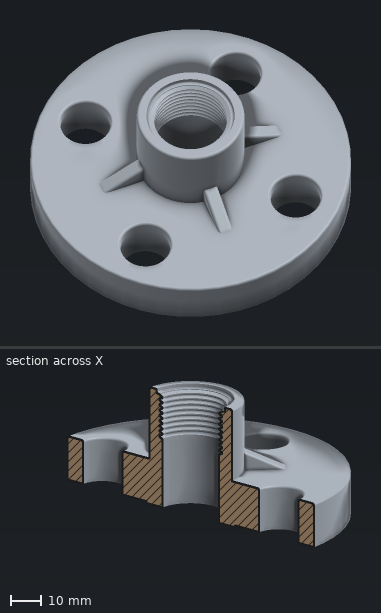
import cadquery as cq

plate_diameter = 105.4
plate_thickness = 15.3
raised_face_diameter = 37.9
raised_face_height = 0.6
edge_radius = 1.0

bolt_hole_diameter = 16.5
bolt_circle_diameter = 75.0
bolt_count = 4

total_height = 40.8
hub_diameter = 35.4

minor_diameter = 24.0
major_diameter = 26.5
thread_length = 16.3
crest_count = 9
thread_pitch = thread_length / crest_count
thread_flat = 0.27
counterbore_diameter = 29.0
counterbore_depth = 1.5
counterbore_corner_radius = 0.5

rib_count = 4
rib_width = 5.0
rib_height = 6.4
rib_outer_radius = 31.5
rib_buried_depth = 1.0

plate_top = raised_face_height + plate_thickness
hub_radius = hub_diameter / 2


def disc(diameter, bottom, top):
    return cq.Workplane("XY").workplane(offset=bottom).circle(diameter / 2).extrude(top - bottom)


def make_plate():
    """Round plate with four bolt holes, all its upper edges rounded."""
    holes = (
        cq.Workplane("XY")
        .polarArray(bolt_circle_diameter / 2, 0, 360, bolt_count)
        .circle(bolt_hole_diameter / 2)
        .extrude(plate_top)
    )
    plate = disc(plate_diameter, raised_face_height, plate_top).cut(holes)
    plate = plate.faces(">Z").edges().fillet(edge_radius)
    return plate.union(disc(raised_face_diameter, 0, plate_top))


def make_hub():
    return disc(hub_diameter, 0, total_height).faces(">Z").edges().fillet(edge_radius)


def make_rib():
    """Sloping rib along +X, from inside the hub wall down to the plate top."""
    slope = rib_height / (rib_outer_radius - hub_radius)
    inner_radius = (hub_radius + major_diameter / 2) / 2
    inner_height = slope * (rib_outer_radius - inner_radius)
    buried_radius = rib_outer_radius + rib_buried_depth / slope
    rib = (
        cq.Workplane("XZ")
        .polyline(
            [
                (inner_radius, plate_top - rib_buried_depth),
                (buried_radius, plate_top - rib_buried_depth),
                (inner_radius, plate_top + inner_height),
            ]
        )
        .close()
        .extrude(rib_width / 2, both=True)
    )
    return rib.edges("not (|X or |Y or |Z)").edges(">Y or <Y").fillet(edge_radius)


def make_bore():
    """Through bore with a counterbored mouth and ring-shaped thread grooves with flat roots and crests."""
    minor_radius = minor_diameter / 2
    major_radius = major_diameter / 2
    counterbore_radius = counterbore_diameter / 2
    counterbore_floor = total_height - counterbore_depth
    profile = (
        cq.Workplane("XZ")
        .lineTo(0, total_height)
        .lineTo(counterbore_radius, total_height)
        .lineTo(counterbore_radius, counterbore_floor + counterbore_corner_radius)
        .radiusArc((counterbore_radius - counterbore_corner_radius, counterbore_floor), counterbore_corner_radius)
        .lineTo(major_radius, counterbore_floor)
    )
    flank_height = thread_pitch / 2 - thread_flat
    for turn in range(crest_count):
        root_top = counterbore_floor - turn * thread_pitch
        root_bottom = root_top - thread_flat
        crest_top = root_bottom - flank_height
        crest_bottom = crest_top - thread_flat
        if turn > 0:
            profile = profile.lineTo(major_radius, root_top)
        profile = profile.lineTo(major_radius, root_bottom).lineTo(minor_radius, crest_top)
        if turn < crest_count - 1:
            profile = profile.lineTo(minor_radius, crest_bottom)
    return profile.lineTo(minor_radius, 0).close().revolve(360, (0, 0, 0), (0, 1, 0))


result = make_plate().union(make_hub())
for index in range(rib_count):
    angle = (index + 1 / 2) * 360 / rib_count
    result = result.union(make_rib().rotate((0, 0, 0), (0, 0, 1), angle))
result = result.cut(make_bore())